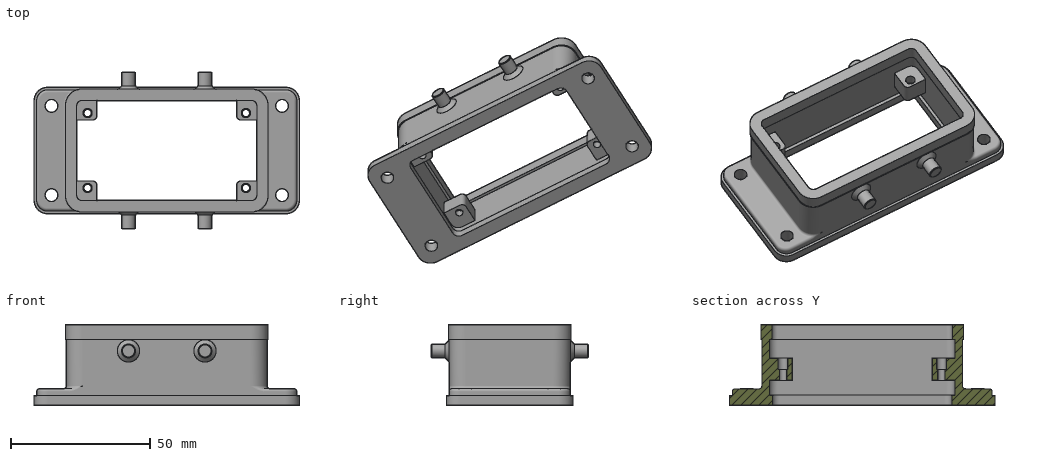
import cadquery as cq

foot_length = 95.5
foot_width = 45.6
foot_height = 3.5
foot_corner_radius = 5.0
step_inset = 1.0
step_top = 6.0
step_edge_radius = 1.05

overall_height = 29.0
body_length = 72.3
rim_bottom = 23.7
rim_overhang = 0.3
body_corner_radius = 5.9
body_blend_radius = 1.0

rim_opening_length = 64.75
rim_opening_width = 36.1
rim_opening_radius = 2.0
cavity_relief = 1.0
floor_thickness = 3.7
floor_opening_length = 64.4
floor_opening_width = 35.5
floor_opening_radius = 2.5

mount_hole_diameter = 4.5
mount_hole_x = 41.4
mount_hole_y = 16.0

boss_top = 17.0
boss_height = 8.0
boss_inner_x = 25.1
boss_inner_y = 10.9
boss_corner_radius = 1.6
screw_x = 28.5
screw_y = 13.5
screw_hole_diameter = 2.6
screw_counterbore_diameter = 3.3
screw_counterbore_depth = boss_height / 2

pin_x = 13.75
pin_z = 19.6
pin_diameter = 5.0
pin_span = 56.5
pin_end_chamfer = 0.3
pin_collar_diameter = 8.0
pin_collar_height = 1.4

tolerance = 0.1

step_length = foot_length - 2 * step_inset
step_width = foot_width - 2 * step_inset
body_width = step_width
cavity_length = rim_opening_length + 2 * cavity_relief
cavity_width = rim_opening_width + 2 * cavity_relief
cavity_radius = rim_opening_radius + cavity_relief


def rounded_block(length, width, radius, bottom, top):
    """Upright block centred on the Z axis with rounded vertical edges."""
    block = cq.Workplane("XY").workplane(offset=bottom).rect(length, width).extrude(top - bottom)
    return block.edges("|Z").fillet(radius)


def edges_between(low_corner, high_corner):
    """Selector for the edges whose centres lie inside a box."""
    return cq.selectors.BoxSelector(low_corner, high_corner)


def make_step_and_walls():
    """Flange step blended into the walls, with its upper outer edge rounded."""
    body = rounded_block(body_length, body_width, body_corner_radius, 0, rim_bottom)

    plate = rounded_block(2 * step_length, 2 * step_width, body_corner_radius, 0, step_top)
    corner_x = body_length / 2 + tolerance
    corner_y = body_width / 2 + tolerance
    low_z = step_top - tolerance
    high_z = step_top + tolerance
    junction = edges_between((-corner_x, -corner_y, low_z), (corner_x, corner_y, high_z))
    blended = plate.union(body).edges(junction).fillet(body_blend_radius)
    outline = rounded_block(step_length, step_width, foot_corner_radius - step_inset, 0, rim_bottom)
    step = blended.intersect(outline)

    end_x = body_length / 2 + body_blend_radius + tolerance
    side_y = step_width / 2 - tolerance
    far = step_length
    blend_top = step_top + body_blend_radius - tolerance
    rounded_edges = (
        edges_between((end_x, -far, low_z), (far, far, high_z))
        + edges_between((-far, -far, low_z), (-end_x, far, high_z))
        + edges_between((-far, side_y, low_z), (far, far, blend_top))
        + edges_between((-far, -far, low_z), (far, -side_y, blend_top))
    )
    return step.edges(rounded_edges).fillet(step_edge_radius)


def make_shell():
    foot = rounded_block(foot_length, foot_width, foot_corner_radius, 0, foot_height)
    rim = rounded_block(
        body_length + 2 * rim_overhang,
        body_width + 2 * rim_overhang,
        body_corner_radius,
        rim_bottom,
        overall_height,
    )
    return make_step_and_walls().union(foot).union(rim)


def make_pin(x, side):
    """Locking pin rooted in the wall, with a conical collar; side is -1 or +1 along Y."""
    wall = body_width / 2
    inner = cavity_width / 2
    tip = pin_span / 2
    radius = pin_diameter / 2
    profile = [
        (0, inner),
        (pin_collar_diameter / 2, inner),
        (pin_collar_diameter / 2, wall),
        (radius, wall + pin_collar_height),
        (radius, tip - pin_end_chamfer),
        (radius - pin_end_chamfer, tip),
        (0, tip),
    ]
    pin = cq.Workplane("XY").polyline(profile).close().revolve(360, (0, 0), (0, 1))
    if side < 0:
        pin = pin.mirror("XZ")
    return pin.translate((x, 0, pin_z))


def make_boss(x_side, y_side):
    """Screw boss filling one corner of the cavity; the sides are -1 or +1 along X and Y."""
    x_size = cavity_length / 2 - boss_inner_x
    y_size = cavity_width / 2 - boss_inner_y
    boss = cq.Workplane("XY").box(x_size, y_size, boss_height, centered=False)
    boss = boss.edges("|Z and <X and <Y").fillet(boss_corner_radius)
    boss = boss.translate((boss_inner_x, boss_inner_y, boss_top - boss_height))
    outline = rounded_block(cavity_length, cavity_width, cavity_radius, 0, rim_bottom)
    boss = boss.intersect(outline)
    screw_centre = cq.Workplane("XY").workplane(offset=boss_top).center(screw_x, screw_y)
    boss = boss.cut(screw_centre.circle(screw_hole_diameter / 2).extrude(-boss_height))
    boss = boss.cut(screw_centre.circle(screw_counterbore_diameter / 2).extrude(-screw_counterbore_depth))
    if x_side < 0:
        boss = boss.mirror("YZ")
    if y_side < 0:
        boss = boss.mirror("XZ")
    return boss


def make_opening():
    """Stepped opening through the floor, the cavity and the rim."""
    floor = rounded_block(
        floor_opening_length, floor_opening_width, floor_opening_radius, 0, floor_thickness
    )
    cavity = rounded_block(cavity_length, cavity_width, cavity_radius, floor_thickness, rim_bottom)
    rim = rounded_block(
        rim_opening_length, rim_opening_width, rim_opening_radius, rim_bottom, overall_height
    )
    return floor.union(cavity).union(rim)


def make_mount_hole(x_side, y_side):
    centre = cq.Workplane("XY").center(x_side * mount_hole_x, y_side * mount_hole_y)
    return centre.circle(mount_hole_diameter / 2).extrude(step_top)


result = make_shell().cut(make_opening())
for x_side in (-1, 1):
    for y_side in (-1, 1):
        result = result.union(make_pin(x_side * pin_x, y_side))
        result = result.union(make_boss(x_side, y_side))
        result = result.cut(make_mount_hole(x_side, y_side))